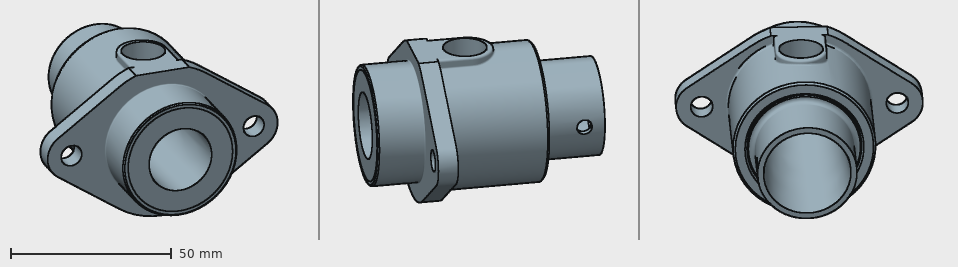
import cadquery as cq
import math

LENGTH = 73.0

FLANGE_X = 51.65
FLANGE_THICKNESS = 6.3
FLANGE_RADIUS = 25.4
EAR_RADIUS = 8.0
FLANGE_SPAN = 76.95
EAR_HOLE_DIAMETER = 6.85

BARREL_X = 19.0
BARREL_RADIUS = 44.5 / 2
BARREL_CHAMFER = 0.7
BARREL_ROOT_FILLET = 0.7
SPIGOT_RADIUS = 38.1 / 2
SPIGOT_ROOT_FILLET = 0.4
SPIGOT_CHAMFER = 0.5
BORE_RADIUS = 34.95 / 2
COLLAR_RADIUS = 35.8 / 2
COLLAR_END_X = 23.1
BORE_MOUTH_RADIUS = 37.1 / 2

TOP_Z = 23.8
BOSS_X = 40.4
BOSS_RADIUS = 8.0
BOSS_TOP_FILLET = 0.85
BOSS_ROOT_FILLET = 0.6
PORT_X = 41.3
PORT_DIAMETER = 13.7

PIPE_RADIUS = 31.0 / 2
PIPE_FILLET = 1.55
SHOULDER_X = 19.2
PIPE_MOUTH_BORE_RADIUS = 27.25 / 2
PIPE_END_BORE_RADIUS = 20.9 / 2
CROSS_HOLE_X = 6.55
CROSS_HOLE_DIAMETER = 4.8

FLANGE_END_X = FLANGE_X + FLANGE_THICKNESS
EAR_Y = FLANGE_SPAN / 2 - EAR_RADIUS


def revolve_about_x(profile):
    """Turn a closed (x, radius) profile into a solid around the X axis."""
    return profile.close().revolve(360, (0, 0, 0), (1, 0, 0))


def cylinder_along_x(x, radius, length):
    return cq.Workplane("YZ", origin=(x, 0, 0)).circle(radius).extrude(length)


def make_flange():
    """Two-eared plate: straight sides tangent to the ears and the big arcs."""
    sine = (FLANGE_RADIUS - EAR_RADIUS) / EAR_Y
    cosine = math.sqrt(1 - sine**2)
    arc_y = FLANGE_RADIUS * sine
    arc_z = FLANGE_RADIUS * cosine
    ear_y = EAR_Y + EAR_RADIUS * sine
    ear_z = EAR_RADIUS * cosine
    flat_y = math.sqrt(FLANGE_RADIUS**2 - TOP_Z**2)
    middle_angle = (math.asin(sine) + math.asin(flat_y / FLANGE_RADIUS)) / 2
    middle_y = FLANGE_RADIUS * math.sin(middle_angle)
    middle_z = FLANGE_RADIUS * math.cos(middle_angle)
    return (
        cq.Workplane("YZ", origin=(FLANGE_X, 0, 0))
        .moveTo(-flat_y, TOP_Z)
        .lineTo(flat_y, TOP_Z)
        .threePointArc((middle_y, middle_z), (arc_y, arc_z))
        .lineTo(ear_y, ear_z)
        .threePointArc((FLANGE_SPAN / 2, 0), (ear_y, -ear_z))
        .lineTo(arc_y, -arc_z)
        .threePointArc((0, -FLANGE_RADIUS), (-arc_y, -arc_z))
        .lineTo(-ear_y, -ear_z)
        .threePointArc((-FLANGE_SPAN / 2, 0), (-ear_y, ear_z))
        .lineTo(-arc_y, arc_z)
        .threePointArc((-middle_y, middle_z), (-flat_y, TOP_Z))
        .close()
        .extrude(FLANGE_THICKNESS)
        .faces("<X")
        .workplane(origin=(FLANGE_X, 0, 0))
        .pushPoints([(-EAR_Y, 0), (EAR_Y, 0)])
        .hole(EAR_HOLE_DIAMETER)
    )


def make_barrel():
    """Cylindrical barrel with a chamfered free end."""
    barrel = cylinder_along_x(BARREL_X, BARREL_RADIUS, FLANGE_X - BARREL_X)
    return barrel.faces("<X").chamfer(BARREL_CHAMFER)


def make_root_fillet(x, direction, radius, fillet):
    """Concave ring in the corner between a cylinder and a flange face."""
    middle = fillet * (1 - math.sqrt(0.5))
    return revolve_about_x(
        cq.Workplane("XY")
        .moveTo(x, 0)
        .lineTo(x, radius + fillet)
        .threePointArc((x + direction * middle, radius + middle), (x + direction * fillet, radius))
        .lineTo(x + direction * fillet, 0)
    )


def make_boss():
    """Round-ended block that joins the barrel to the flat top of the flange."""
    length = FLANGE_X - BOSS_X
    round_end = cq.Workplane("XY").center(BOSS_X, 0).circle(BOSS_RADIUS).extrude(TOP_Z)
    block = (
        cq.Workplane("XY")
        .center(BOSS_X + length / 2, 0)
        .rect(length, 2 * BOSS_RADIUS)
        .extrude(TOP_Z)
    )
    return round_end.union(block)


def fillet_boss(body):
    """Fillet the corner between boss and barrel, then the rim of the boss."""
    root_edges = cq.selectors.BoxSelector(
        (BOSS_X - 1.1 * BOSS_RADIUS, -1.1 * BOSS_RADIUS, 0),
        (FLANGE_X - BARREL_ROOT_FILLET, 1.1 * BOSS_RADIUS, TOP_Z - BOSS_TOP_FILLET),
    )
    rim_edges = cq.selectors.BoxSelector(
        (0, -1.1 * BOSS_RADIUS, TOP_Z - 0.1),
        (FLANGE_X - 0.1, 1.1 * BOSS_RADIUS, TOP_Z + 0.1),
    )
    body = body.edges(root_edges).fillet(BOSS_ROOT_FILLET)
    return body.edges(rim_edges).fillet(BOSS_TOP_FILLET)


def make_spigot():
    spigot = cylinder_along_x(FLANGE_END_X, SPIGOT_RADIUS, LENGTH - FLANGE_END_X)
    return spigot.faces(">X").chamfer(SPIGOT_CHAMFER)


def make_bore():
    """Straight bore with a chamfered counterbore for the pipe collar."""
    mouth_depth = BORE_MOUTH_RADIUS - COLLAR_RADIUS
    return revolve_about_x(
        cq.Workplane("XY")
        .moveTo(BARREL_X, 0)
        .lineTo(BARREL_X, BORE_MOUTH_RADIUS)
        .lineTo(BARREL_X + mouth_depth, COLLAR_RADIUS)
        .lineTo(COLLAR_END_X, COLLAR_RADIUS)
        .lineTo(COLLAR_END_X, BORE_RADIUS)
        .lineTo(LENGTH, BORE_RADIUS)
        .lineTo(LENGTH, 0)
    )


def make_housing():
    """Barrel, flange, spigot and boss in one piece, with the bore and the port."""
    body = (
        fillet_boss(make_barrel().union(make_boss()))
        .union(make_flange())
        .union(make_spigot())
        .union(make_root_fillet(FLANGE_X, -1, BARREL_RADIUS, BARREL_ROOT_FILLET))
        .union(make_root_fillet(FLANGE_END_X, 1, SPIGOT_RADIUS, SPIGOT_ROOT_FILLET))
    )
    port = cq.Workplane("XY").center(PORT_X, 0).circle(PORT_DIAMETER / 2).extrude(TOP_Z)
    return body.cut(make_bore()).cut(port)


def make_pipe():
    """Pipe with a chamfered collar, a tapered bore and a cross hole through its +Y wall."""
    fillet_x = SHOULDER_X - PIPE_FILLET
    fillet_middle = PIPE_FILLET * math.sqrt(0.5)
    chamfer = COLLAR_RADIUS - BORE_RADIUS
    pipe = revolve_about_x(
        cq.Workplane("XY")
        .moveTo(0, PIPE_MOUTH_BORE_RADIUS)
        .lineTo(0, PIPE_RADIUS)
        .lineTo(fillet_x, PIPE_RADIUS)
        .threePointArc(
            (fillet_x + fillet_middle, PIPE_RADIUS + PIPE_FILLET - fillet_middle),
            (SHOULDER_X, PIPE_RADIUS + PIPE_FILLET),
        )
        .lineTo(SHOULDER_X, BORE_RADIUS)
        .lineTo(SHOULDER_X + chamfer, COLLAR_RADIUS)
        .lineTo(COLLAR_END_X, COLLAR_RADIUS)
        .lineTo(COLLAR_END_X, BORE_RADIUS)
        .lineTo(LENGTH, BORE_RADIUS)
        .lineTo(LENGTH, PIPE_END_BORE_RADIUS)
    )
    cross_hole = (
        cq.Workplane("XZ", origin=(CROSS_HOLE_X, 0, 0))
        .circle(CROSS_HOLE_DIAMETER / 2)
        .extrude(-2 * PIPE_RADIUS)
    )
    return pipe.cut(cross_hole)


housing = make_housing()
pipe = make_pipe()
result = cq.Compound.makeCompound([housing.val(), pipe.val()])